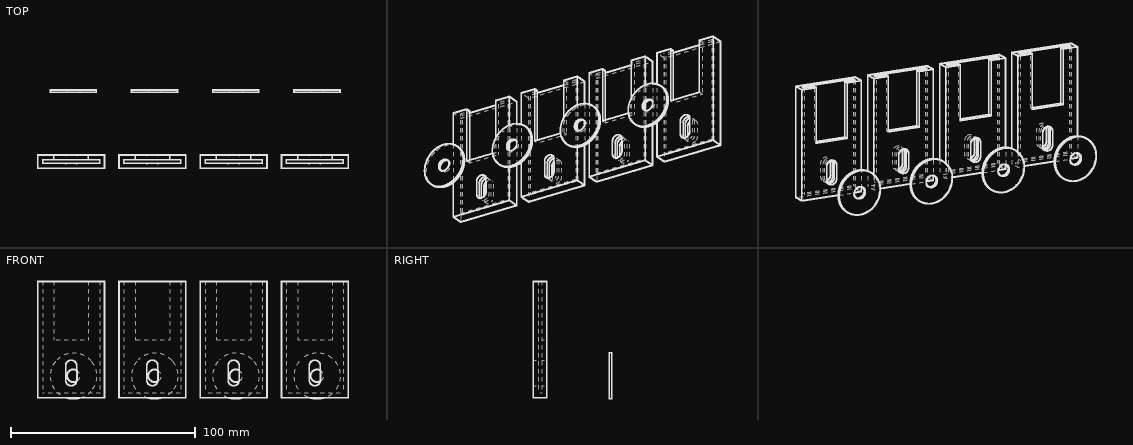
import cadquery as cq

SET_COUNT = 4
TOTAL_LENGTH = 168.3
PLATE_WIDTH = 36.4
PITCH = (TOTAL_LENGTH - PLATE_WIDTH) / (SET_COUNT - 1)

PLATE_THICKNESS = 7.4
TOTAL_HEIGHT = 63.6
WASHER_DROP = 0.59
PLATE_HEIGHT = TOTAL_HEIGHT - WASHER_DROP

CAVITY_WIDTH = 31.0
CAVITY_DEPTH = 2.0
FRONT_WALL = (PLATE_THICKNESS - CAVITY_DEPTH) / 2
MOUTH_WIDTH = 18.7
CAVITY_FLOOR_Z = (PLATE_WIDTH - CAVITY_WIDTH) / 2
MOUTH_FLOOR_Z = PLATE_HEIGHT / 2

SLOT_WIDTH = 6.0
SLOT_LENGTH = 13.8
SLOT_CENTER_Z = 13.5

WASHER_DIAMETER = 25.0
WASHER_HOLE_DIAMETER = 6.7
WASHER_THICKNESS = 1.43
WASHER_BACK_Y = 42.5
WASHER_OFFSET_X = 1.2
WASHER_CENTER_Z = WASHER_DIAMETER / 2 - WASHER_DROP


def upright_block(width, y_front, y_back, z_bottom):
    """Block centred on X = 0 that reaches up to the top of the plate."""
    return (
        cq.Workplane("XY")
        .box(width, y_back - y_front, PLATE_HEIGHT - z_bottom, centered=(True, False, False))
        .translate((0, y_front, z_bottom))
    )


def make_plate(center_x):
    """Plate hollowed by the cavity and its mouth, with the rounded slot below the mouth."""
    plate = upright_block(PLATE_WIDTH, 0, PLATE_THICKNESS, 0)
    cavity = upright_block(CAVITY_WIDTH, FRONT_WALL, FRONT_WALL + CAVITY_DEPTH, CAVITY_FLOOR_Z)
    mouth = upright_block(MOUTH_WIDTH, FRONT_WALL, PLATE_THICKNESS, MOUTH_FLOOR_Z)
    through_slot = (
        cq.Workplane("XZ")
        .center(0, SLOT_CENTER_Z)
        .slot2D(SLOT_LENGTH, SLOT_WIDTH, 90)
        .extrude(-PLATE_THICKNESS)
    )
    return plate.cut(cavity).cut(mouth).cut(through_slot).translate((center_x, 0, 0))


def make_washer(center_x):
    """Flat ring set slightly to the +X side of its plate."""
    return (
        cq.Workplane("XZ", origin=(center_x + WASHER_OFFSET_X, WASHER_BACK_Y, WASHER_CENTER_Z))
        .circle(WASHER_DIAMETER / 2)
        .circle(WASHER_HOLE_DIAMETER / 2)
        .extrude(WASHER_THICKNESS)
    )


plate_centers = [PLATE_WIDTH / 2 + i * PITCH for i in range(SET_COUNT)]
plates = [make_plate(x) for x in plate_centers]
washers = [make_washer(x) for x in plate_centers]

result = cq.Compound.makeCompound([body.val() for body in plates + washers])